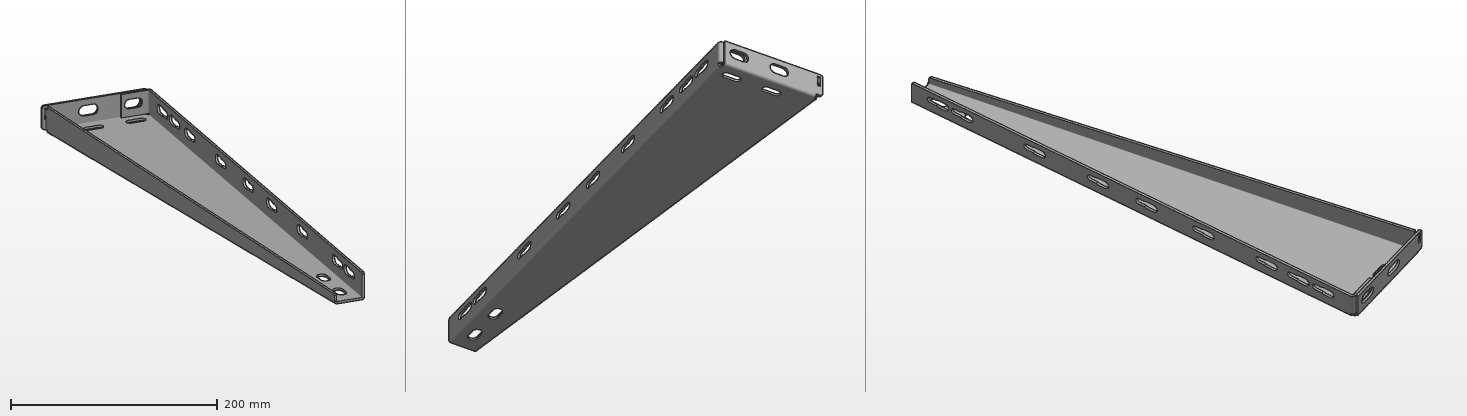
import cadquery as cq
import math

length = 523.0
height = 28.0
width = 114.5
sheet = 2.5
tab_gap = 0.25
bend_outer = 3.0
bend_inner = bend_outer - sheet

front_y_left = -111.5
front_y_right = -32.0
front_top_left = 27.5
front_top_right = 11.0
front_run = math.hypot(length, front_y_right - front_y_left)
front_dir = (length / front_run, (front_y_right - front_y_left) / front_run)
front_in = (-front_dir[1], front_dir[0])

floor_end = 522.0
end_plate_back = -4.0
end_bend_front = -107.0
front_fold_start = 5.0
front_wall_start = 3.5
tab_bottom = 3.5
tab_outer = sheet + tab_gap
back_fold_start = tab_outer + bend_outer
tab_front = -31.5
plate_corner = 3.0
flange_corner = 1.5

end_slot_z = 16.0
cross_slot_ys = [-20.5, -65.5]
end_slot = (20.5, 11.0)
tab_slot = (19.0, 10.0)
tab_slot_y = -19.0
tab_slot_z = 16.5
floor_slot_left = (20.5, 8.0)
floor_slot_left_x = 15.0
floor_slot_right = (18.5, 10.0)
floor_slot_right_xs = [460.0, 499.0]
floor_slot_right_y = -16.0
keyhole_length = 25.0
keyhole_z = 17.0
keyhole_wide = (16.0, 9.5)
keyhole_narrow_width = 7.5
keyhole_xs = [38.0, 67.5, 104.5, 179.0, 246.0, 303.0, 377.0, 462.5, 490.5]

tongue_bottom = 17.0
tongue_top = 24.5
opening_bottom = 14.0
opening_top = 25.0
opening_width = 3.0


def front_y(x):
    """Y of the front flange's outer face at a given X."""
    return front_y_left + (front_y_right - front_y_left) * x / length


def box(x0, x1, y0, y1, z0, z1):
    return cq.Workplane("XY").box(x1 - x0, y1 - y0, z1 - z0, centered=False).translate((x0, y0, z0))


def quarter_ring(plane):
    """Sketch of a 90 degree bend from (bend_outer, 0) to (0, bend_outer)."""
    outer_mid = bend_outer * (1 - math.sqrt(0.5))
    inner_mid = bend_outer - bend_inner * math.sqrt(0.5)
    return (
        cq.Workplane(plane)
        .moveTo(bend_outer, 0)
        .threePointArc((outer_mid, outer_mid), (0, bend_outer))
        .lineTo(sheet, bend_outer)
        .threePointArc((inner_mid, inner_mid), (bend_outer, sheet))
        .close()
    )


def fold_plane(start, along):
    """Plane across a fold: local X points into the bracket, local Y points up."""
    return cq.Plane(origin=(*start, 0), xDir=(-along[1], along[0], 0), normal=(*along, 0))


def fold(start, along, run):
    """Bend between the floor and an upright flange."""
    return quarter_ring(fold_plane(start, along)).extrude(run)


def upright(start, along, outline):
    """Upright flange above a bend; outline points are (distance along, Z)."""
    plane = cq.Plane(origin=(*start, 0), xDir=(*along, 0), normal=(along[1], -along[0], 0))
    return cq.Workplane(plane).polyline(outline).close().extrude(-sheet)


def slot_cutter(plane, center, size, angle=0):
    """Round-ended slot cutter reaching past both faces of the sheet at center."""
    reach = 2 * sheet
    return (
        cq.Workplane(plane, origin=center)
        .slot2D(size[0], size[1], angle)
        .extrude(reach, both=True)
    )


def make_floor():
    inset = bend_outer / front_in[1]
    floor = (
        cq.Workplane("XY")
        .polyline([
            (bend_outer, -bend_outer),
            (floor_end, -bend_outer),
            (floor_end, front_y(floor_end) + inset),
            (bend_outer, front_y(bend_outer) + inset),
        ])
        .close()
        .extrude(sheet)
    )
    for y in cross_slot_ys:
        floor = floor.cut(slot_cutter("XY", (floor_slot_left_x, y, 0), floor_slot_left, 90))
    for x in floor_slot_right_xs:
        floor = floor.cut(slot_cutter("XY", (x, floor_slot_right_y, 0), floor_slot_right))
    return floor


def make_back_flange():
    run = floor_end - back_fold_start
    start = (floor_end, 0)
    along = (-1, 0)
    wall = upright(start, along, [(0, bend_outer), (run, bend_outer), (run, height), (0, height)])
    wall = wall.edges("|Y").edges(">X and >Z").chamfer(flange_corner)
    flange = wall.union(fold(start, along, run))
    wide_shift = (keyhole_length - keyhole_wide[0]) / 2
    for x in keyhole_xs:
        flange = flange.cut(slot_cutter("XZ", (x, 0, keyhole_z), (keyhole_length, keyhole_narrow_width)))
        flange = flange.cut(slot_cutter("XZ", (x - wide_shift, 0, keyhole_z), keyhole_wide))
    return flange


def make_corner_tab():
    """Tab folded from the back flange, lying close to the inside of the end plate."""
    corner = cq.Plane(origin=(tab_outer, 0, tab_bottom), xDir=(0, -1, 0), normal=(0, 0, 1))
    bend = quarter_ring(corner).extrude(height - tab_bottom)
    tab = box(tab_outer, tab_outer + sheet, tab_front, -bend_outer, tab_bottom, height)
    tab = tab.cut(slot_cutter("YZ", (tab_outer + sheet, tab_slot_y, tab_slot_z), tab_slot))
    return bend.union(tab)


def make_end_plate():
    plate = box(0, sheet, -width, end_plate_back, bend_outer, height)
    plate = plate.edges("|X and <Y").fillet(plate_corner)
    bend = fold((0, end_plate_back), (0, -1), end_plate_back - end_bend_front)
    plate = plate.union(bend)
    for y in cross_slot_ys:
        plate = plate.cut(slot_cutter("YZ", (0, y, end_slot_z), end_slot))
    opening_y = front_y(0) + sheet / 2
    opening = box(
        -sheet, 2 * sheet,
        opening_y - opening_width / 2, opening_y + opening_width / 2,
        opening_bottom, opening_top,
    )
    return plate.cut(opening)


def make_front_flange():
    start = (0, front_y_left)
    lower_start = front_wall_start / front_dir[0]
    upper_start = front_fold_start / front_dir[0]
    tongue_start = sheet * front_in[0] / -front_dir[0]
    wall_run = floor_end / front_dir[0]
    wall = upright(start, front_dir, [
        (lower_start, bend_outer),
        (wall_run, bend_outer),
        (wall_run, front_top_right - flange_corner),
        (wall_run - flange_corner, front_top_right),
        (upper_start, front_top_left),
        (upper_start, tongue_top),
        (tongue_start, tongue_top),
        (tongue_start, tongue_bottom),
        (lower_start, tongue_bottom),
    ])
    bend_start = (front_fold_start, front_y(front_fold_start))
    return wall.union(fold(bend_start, front_dir, front_run - upper_start))


result = (
    make_floor()
    .union(make_back_flange())
    .union(make_end_plate())
    .union(make_corner_tab())
    .union(make_front_flange())
)